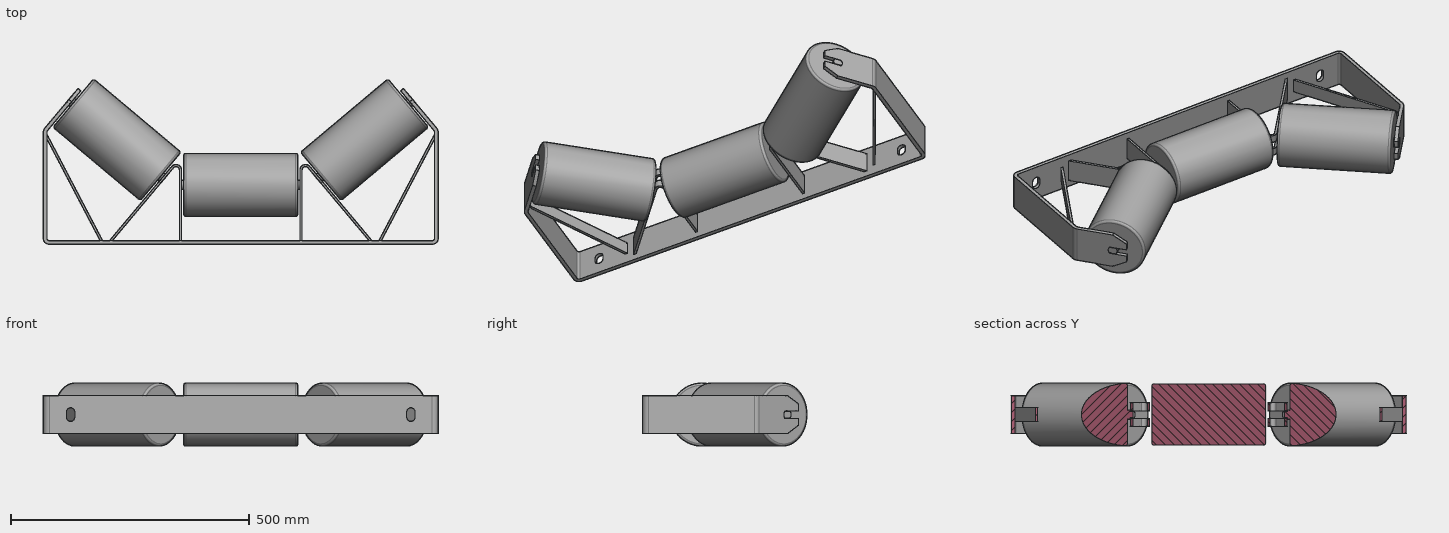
import cadquery as cq
import math


roller_diameter = 133.0
roller_length = 240.0
roller_edge_radius = 5.0
shaft_diameter = 20.0
shaft_flat_width = 14.0
trough_angle = 40.0
middle_roller_y = 125.0
outer_roller_x = 260.0
outer_roller_y = 219.85
end_gap = 4.0
support_distance = roller_length / 2 + end_gap

frame_width = 830.0
frame_height = 80.0
frame_thickness = 8.0
corner_inner_radius = 5.0
knee_inner_radius = 7.0
tip_above_shaft = 30.0
tip_chamfer_length = 30.0
tip_chamfer_angle = 30.0
slot_width = 16.0
mount_slot_width = 18.0
mount_slot_length = 28.0
mount_slot_x = 357.5

bracket_height = 50.0
bracket_thickness = 5.0
bracket_inner_radius = 7.0
bracket_outer_radius = bracket_inner_radius + bracket_thickness
brace_height = 30.0
brace_thickness = 5.0
brace_top_y = 231.5
brace_foot_x = 290.0

tilt = math.radians(trough_angle)
axis_x = math.cos(tilt)
axis_y = -math.sin(tilt)
arm_x = math.sin(tilt)
arm_y = math.cos(tilt)
half_width = frame_width / 2


def left_roller_point(along, across=0.0):
    """Point at a distance along and square to the left roller axis, from its centre."""
    x = -outer_roller_x + along * axis_x + across * arm_x
    y = outer_roller_y + along * axis_y + across * arm_y
    return x, y


def bent_strip(outer_points, thickness, height, inner_radii):
    """Flat bar along outer_points, its thickness to the left, with one radius per bend."""
    normals = []
    for (x0, y0), (x1, y1) in zip(outer_points, outer_points[1:]):
        length = math.hypot(x1 - x0, y1 - y0)
        normals.append((-(y1 - y0) / length, (x1 - x0) / length))
    before = normals[:1] + normals
    after = normals + normals[-1:]
    inner_points = []
    for (x, y), (ax, ay), (bx, by) in zip(outer_points, before, after):
        mitre = thickness / (1 + ax * bx + ay * by)
        inner_points.append((x + mitre * (ax + bx), y + mitre * (ay + by)))
    strip = (
        cq.Workplane("XY")
        .polyline(outer_points + inner_points[::-1])
        .close()
        .extrude(height / 2, both=True)
    )
    for points, added_radius in ((outer_points, thickness), (inner_points, 0)):
        for (x, y), inner_radius in zip(points[1:-1], inner_radii):
            corner = cq.selectors.NearestToPointSelector((x, y, 0))
            strip = strip.edges(corner).fillet(inner_radius + added_radius)
    return strip


def tilt_to_left_roller(body):
    """Move a body built about the origin, axis along X, to the left roller."""
    turned = body.rotate((0, 0, 0), (0, 0, 1), -trough_angle)
    return turned.translate((-outer_roller_x, outer_roller_y, 0))


def shaft_slot(x_start, depth, length):
    """Cutter for a shaft on the X axis: round seat at the shaft, open toward +Y."""
    channel = cq.Workplane("XY").box(depth, length, slot_width, centered=(False, False, True))
    seat = (
        cq.Workplane("YZ")
        .circle(shaft_diameter / 2)
        .extrude(depth)
        .intersect(cq.Workplane("XY").box(2 * depth, shaft_diameter, slot_width))
    )
    return channel.union(seat).translate((x_start, 0, 0))


def rod(diameter, length):
    """Cylinder along the X axis, centred on the origin."""
    start = cq.Workplane("YZ", origin=(-length / 2, 0, 0))
    return start.circle(diameter / 2).extrude(length)


def make_roller(left_support, right_support):
    """Roller about the X axis, its flatted shaft ends flush with supports of these thicknesses."""
    shell = (
        rod(roller_diameter, roller_length)
        .faces("<X or >X")
        .edges()
        .fillet(roller_edge_radius)
    )
    round_shaft = rod(shaft_diameter, 2 * support_distance)
    flat_length = 2 * support_distance + left_support + right_support
    flat_bounds = cq.Workplane("XY").box(flat_length, shaft_diameter, shaft_flat_width)
    flat_shaft = rod(shaft_diameter, flat_length).intersect(flat_bounds)
    flat_shaft = flat_shaft.translate(((right_support - left_support) / 2, 0, 0))
    return shell.union(round_shaft).union(flat_shaft)


def tip_chamfers():
    """Cutter for both corners of the left arm tip, about the left roller's axis system."""
    drop = tip_chamfer_length * math.tan(math.radians(tip_chamfer_angle))
    edge = frame_height / 2
    start = tip_above_shaft - tip_chamfer_length
    corner = (
        cq.Workplane("YZ", origin=(-support_distance - frame_thickness, 0, 0))
        .polyline([(start, edge), (tip_above_shaft, edge), (tip_above_shaft, edge - drop)])
        .close()
        .extrude(frame_thickness)
    )
    return corner.union(corner.mirror("XY"))


def make_frame():
    outer_face = -support_distance - frame_thickness
    tip_x, tip_y = left_roller_point(outer_face, tip_above_shaft)
    knee_y = tip_y - (tip_x + half_width) * arm_y / arm_x
    left_path = [(tip_x, tip_y), (-half_width, knee_y), (-half_width, 0)]
    right_path = [(-x, y) for x, y in reversed(left_path)]
    path = left_path + right_path
    inner_radii = [knee_inner_radius, corner_inner_radius, corner_inner_radius, knee_inner_radius]
    frame = bent_strip(path, frame_thickness, frame_height, inner_radii)

    arm_slot = shaft_slot(outer_face, frame_thickness, tip_above_shaft)
    left_cuts = tilt_to_left_roller(arm_slot.union(tip_chamfers()))
    frame = frame.cut(left_cuts).cut(left_cuts.mirror("YZ"))

    mount_slots = (
        cq.Workplane("XZ")
        .pushPoints([(-mount_slot_x, 0), (mount_slot_x, 0)])
        .slot2D(mount_slot_length, mount_slot_width, 90)
        .extrude(-frame_thickness)
    )
    return frame.cut(mount_slots)


def make_left_bracket():
    """Inverted V: one leg holds the left roller, the upright leg the middle roller."""
    face_x, face_y = left_roller_point(support_distance)
    apex_x = -support_distance
    apex_y = face_y + (apex_x - face_x) * arm_y / arm_x
    foot_x = face_x - face_y * arm_x / arm_y
    path = [(apex_x, 0), (apex_x, apex_y), (foot_x, 0)]
    bracket = bent_strip(path, bracket_thickness, bracket_height, [bracket_inner_radius])

    below_base = cq.Workplane("XY").box(frame_width, 2 * frame_thickness, frame_height)
    bracket = bracket.cut(below_base)

    tilted_slot = shaft_slot(support_distance, bracket_outer_radius, apex_y - face_y)
    upright_slot = shaft_slot(
        -support_distance - bracket_outer_radius, bracket_outer_radius, apex_y - middle_roller_y
    ).translate((0, middle_roller_y, 0))
    return bracket.cut(tilt_to_left_roller(tilted_slot)).cut(upright_slot)


def make_left_brace():
    """Sloping plate between the side wall and the base of the frame."""
    wall_x = -half_width + frame_thickness
    rise = brace_top_y - frame_thickness
    run = -brace_foot_x - wall_x
    slope_length = math.hypot(rise, run)
    wall_contact = brace_thickness * slope_length / run
    base_contact = brace_thickness * slope_length / rise
    return (
        cq.Workplane("XY")
        .polyline([
            (wall_x, brace_top_y),
            (wall_x, brace_top_y - wall_contact),
            (-brace_foot_x - base_contact, frame_thickness),
            (-brace_foot_x, frame_thickness),
        ])
        .close()
        .extrude(brace_height / 2, both=True)
    )


frame = make_frame()
left_roller = tilt_to_left_roller(make_roller(frame_thickness, bracket_thickness))
left_parts = [make_left_bracket(), make_left_brace(), left_roller]
right_parts = [part.mirror("YZ") for part in left_parts]
middle_roller = make_roller(bracket_thickness, bracket_thickness)
middle_roller = middle_roller.translate((0, middle_roller_y, 0))

bodies = [frame, middle_roller] + left_parts + right_parts
result = cq.Compound.makeCompound([solid for body in bodies for solid in body.solids().vals()])